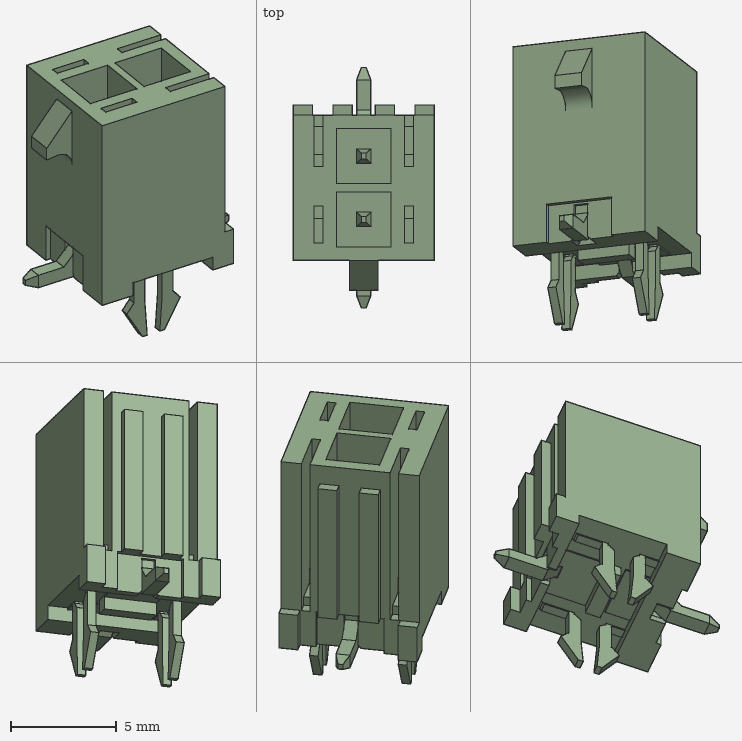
import cadquery as cq
import math


housing_width = 6.7
housing_depth = 6.89
housing_height = 9.88
half_width = housing_width / 2
wall_y = housing_depth / 2
ledge_z = 1.88

rear_projection = 0.48
foot_width = 0.92
rib_width = foot_width
rib_x = 1.0
rib_top_z = 8.89

channel_front_y = -1.72
channel_back_y = 2.75
channel_height = 0.7
floor_plate_z = 0.61
floor_plate_width = 2.6
floor_gap_front_y = -0.44
floor_gap_back_y = -0.2
standoff_back_y = 0.57

pitch = 3.0
pocket_size = 2.6
pocket_floor_z = 2.34

recess_width = 3.3
recess_depth = 0.26
flare_size = 0.14

latch_width = 1.35
latch_top_z = 9.36
latch_nose_top_z = 7.75
latch_nose_bottom_z = 7.11
latch_reach = 1.42
latch_root_radius = 0.77
latch_root_z = 6.42

contact_width = 0.68
contact_thickness = 0.69
post_top_z = 7.8
tip_length = 0.58
tip_width = 0.23
tip_thickness = 0.27
contact_span = 11.4
tail_end_y = contact_span / 2
bar_top_z = 1.78
bend_outer_y = 3.0
bend_inner_y = 2.39
bend_outer_z = 1.38
bend_inner_z = 0.74
tail_center_z = contact_thickness / 2
post_y = pitch / 2

lock_x = 2.15
lock_thickness = 0.42
lock_center_y = 0.06
lock_front_y = -2.61
lock_back_y = 2.91
lock_bottom_z = floor_plate_z
lock_corner = 0.52
shoulder_z = 2.34
arm_top_z = 3.12
arm_inner = 0.94
arm_outer = 1.52
leg_outer = 1.09
leg_inner = 0.48
leg_root_inner = 0.8
leg_root_z = 0.29
fork_top_z = 1.04
bridge_top_z = ledge_z
barb_reach = 1.5
barb_top_z = -1.12
leg_taper_z = -1.25
barb_z = -1.6
leg_tip_outer = 0.61
leg_tip_inner = 0.35
leg_tip_z = -3.12


def block(x_min, x_max, y_min, y_max, z_min, z_max):
    """Box between two opposite corners."""
    size = (x_max - x_min, y_max - y_min, z_max - z_min)
    return cq.Workplane("XY").box(*size, centered=False).translate((x_min, y_min, z_min))


def side_profile(start, center_x, width):
    """Close a (Y, Z) outline and extrude it symmetrically about the plane X = center_x."""
    return start.close().extrude(width / 2, both=True).translate((center_x, 0, 0))


def make_contact(side):
    """Contact whose tail leaves towards +Y (side = 1) or -Y (side = -1)."""
    post_inner_y = post_y - contact_thickness / 2
    post_outer_y = post_y + contact_thickness / 2
    post_shoulder_z = post_top_z - tip_length
    tail_shoulder_y = tail_end_y - tip_length
    outline = [
        (post_inner_y, post_shoulder_z),
        (post_outer_y, post_shoulder_z),
        (post_outer_y, bar_top_z),
        (bend_outer_y, bar_top_z),
        (bend_outer_y, bend_outer_z),
        (bend_outer_y + bend_outer_z - contact_thickness, contact_thickness),
        (tail_shoulder_y, contact_thickness),
        (tail_shoulder_y, 0),
        (bend_inner_y + bend_inner_z, 0),
        (bend_inner_y, bend_inner_z),
        (bend_inner_y, bar_top_z - contact_thickness),
        (post_inner_y, bar_top_z - contact_thickness),
    ]
    body = side_profile(cq.Workplane("YZ").polyline(outline), 0, contact_width)
    post_tip = (
        cq.Workplane("XY", origin=(0, post_y, post_shoulder_z))
        .rect(contact_width, contact_thickness)
        .workplane(offset=tip_length)
        .rect(tip_width, tip_thickness)
        .loft(combine=True)
    )
    tail_tip = (
        cq.Workplane("XZ", origin=(0, tail_end_y, tail_center_z))
        .rect(tip_width, tip_thickness)
        .workplane(offset=tip_length)
        .rect(contact_width, contact_thickness)
        .loft(combine=True)
    )
    contact = body.union(post_tip).union(tail_tip)
    return contact if side > 0 else contact.mirror("XZ")


def make_board_lock(x):
    """Flat forked lock: two arms up into the housing slots, two barbed legs down."""
    half_outline = [
        (leg_root_inner, fork_top_z),
        (leg_root_inner, leg_root_z + leg_root_inner - leg_inner),
        (leg_inner, leg_root_z),
        (leg_inner, leg_taper_z),
        (leg_tip_inner, leg_tip_z),
        (leg_tip_outer, leg_tip_z),
        (barb_reach, barb_z),
        (leg_outer, barb_top_z),
        (leg_outer, lock_bottom_z),
    ]
    arm_outline = [
        (arm_outer, shoulder_z),
        (arm_outer, arm_top_z),
        (arm_inner, arm_top_z),
        (arm_inner, bridge_top_z),
    ]

    def half_points(side, end_y):
        """Outline from the fork to the bridge on one side of the center plane."""
        shoulder_corner = [
            (end_y - side * lock_corner, lock_bottom_z),
            (end_y, lock_bottom_z + lock_corner),
            (end_y, shoulder_z),
        ]
        leg = [(lock_center_y + side * d, z) for d, z in half_outline]
        arm = [(lock_center_y + side * d, z) for d, z in arm_outline]
        return leg + shoulder_corner + arm

    outline = half_points(1, lock_back_y) + half_points(-1, lock_front_y)[::-1]
    return side_profile(cq.Workplane("YZ").polyline(outline), x, lock_thickness)


def make_latch():
    """Ramp with a concave root that runs out tangent to the front wall."""
    nose_y = -wall_y - latch_reach
    root_center_y = -wall_y - latch_root_radius
    root_mid = latch_root_radius * math.sqrt(0.5)
    profile = (
        cq.Workplane("YZ")
        .moveTo(-wall_y, latch_top_z)
        .lineTo(nose_y, latch_nose_top_z)
        .lineTo(nose_y, latch_nose_bottom_z)
        .lineTo(root_center_y, latch_root_z + latch_root_radius)
        .threePointArc((root_center_y + root_mid, latch_root_z + root_mid), (-wall_y, latch_root_z))
    )
    return side_profile(profile, 0, latch_width)


def make_tail_opening(side):
    """Recess in the wall and the slot behind it, flared at its lower edges."""
    half_recess = recess_width / 2
    half_contact = contact_width / 2
    recess = block(-half_recess, half_recess, wall_y - recess_depth, wall_y, 0, ledge_z)
    slot_outline = [
        (-half_contact - flare_size, 0),
        (-half_contact, flare_size),
        (-half_contact, bar_top_z),
        (half_contact, bar_top_z),
        (half_contact, flare_size),
        (half_contact + flare_size, 0),
    ]
    slot = (
        cq.Workplane("XZ", origin=(0, wall_y, 0))
        .polyline(slot_outline)
        .close()
        .extrude(wall_y - bend_inner_y)
    )
    opening = recess.union(slot)
    return opening if side > 0 else opening.mirror("XZ")


def make_lock_slots(x):
    """Front slot, and back slot open through the back wall, above one board lock."""
    x_min = x - lock_thickness / 2
    x_max = x + lock_thickness / 2
    arm_front_y = lock_center_y - arm_inner
    arm_back_y = lock_center_y + arm_inner
    front = block(x_min, x_max, lock_front_y, arm_front_y, shoulder_z, housing_height)
    back = block(x_min, x_max, arm_back_y, lock_back_y, shoulder_z, housing_height)
    exit_slot = block(x_min, x_max, lock_back_y, wall_y, ledge_z, housing_height)
    return front.union(back).union(exit_slot)


def make_housing(contacts, locks):
    body = block(-half_width, half_width, -wall_y, wall_y, 0, housing_height)

    rear_y = wall_y + rear_projection
    for side in (-1, 1):
        foot_x = side * (half_width - foot_width / 2)
        foot = block(foot_x - foot_width / 2, foot_x + foot_width / 2, wall_y, rear_y, 0, ledge_z)
        center_x = side * rib_x
        rib_left = center_x - rib_width / 2
        rib_right = center_x + rib_width / 2
        rib = block(rib_left, rib_right, wall_y, rear_y, ledge_z, rib_top_z)
        body = body.union(foot).union(rib)

    body = body.union(make_latch())

    body = body.cut(block(-half_width, half_width, channel_front_y, channel_back_y, 0, channel_height))
    half_floor = floor_plate_width / 2
    for y_min, y_max, z_min in (
        (channel_front_y, floor_gap_front_y, floor_plate_z),
        (floor_gap_back_y, channel_back_y, floor_plate_z),
        (floor_gap_back_y, standoff_back_y, 0),
    ):
        body = body.union(block(-half_floor, half_floor, y_min, y_max, z_min, channel_height))

    half_pocket = pocket_size / 2
    for side in (-1, 1):
        center_y = side * post_y
        pocket = block(
            -half_pocket, half_pocket,
            center_y - half_pocket, center_y + half_pocket,
            pocket_floor_z, housing_height,
        )
        body = body.cut(pocket).cut(make_tail_opening(side))

    for side in (-1, 1):
        body = body.cut(make_lock_slots(side * lock_x))

    for insert in contacts + locks:
        body = body.cut(insert)
    return body


contacts = [make_contact(side) for side in (-1, 1)]
board_locks = [make_board_lock(side * lock_x) for side in (-1, 1)]
housing = make_housing(contacts, board_locks)

result = cq.Compound.makeCompound([
    housing.solids().val(),
    *[contact.solids().val() for contact in contacts],
    *[board_lock.solids().val() for board_lock in board_locks],
])